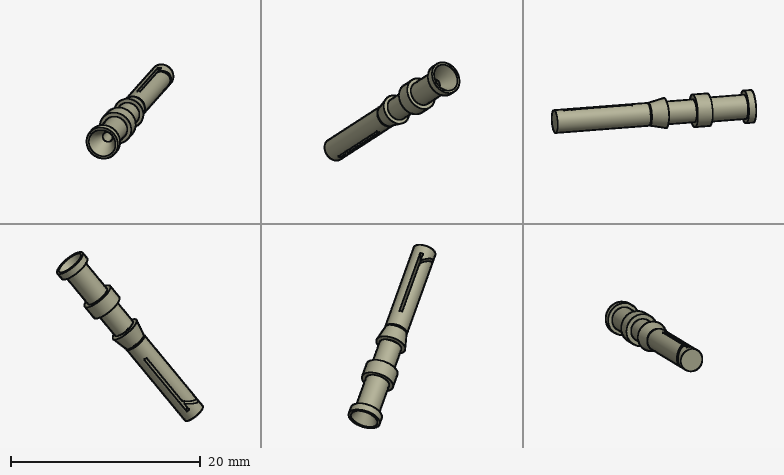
import cadquery as cq
import math

LENGTH = 21.6
FLANGE_END = 0.8
COLLAR_START = 4.77
COLLAR_END = 6.4
NECK_END = 9.4
BARB_START = 9.53
BARB_END = 11.28
SOCKET_START = 11.4

FLANGE_DIAMETER = 3.48
CRIMP_DIAMETER = 2.6
SOCKET_DIAMETER = 2.45
BARB_DIAMETER = 3.22
GROOVE_DIAMETER = 1.84

FUNNEL_DIAMETER = 2.94
BORE_DIAMETER = 1.08
FUNNEL_DEPTH = 1.95
BORE_END = 4.32
DRILL_POINT_ANGLE = 118.0

SLOT_WIDTH = 0.32
SLOT_START = 13.13
SLOT_END = 20.58
BRANCH_GAP = 0.37
BRANCH_CENTRE = 19.35
BRANCH_ANGLE = 45.0


def revolve_about_y(points):
    """Revolve a closed (radius, Y) outline about the Y axis."""
    return cq.Workplane("XY").polyline(points).close().revolve(360, (0, 0, 0), (0, 1, 0))


def make_body():
    flange_radius = FLANGE_DIAMETER / 2
    crimp_radius = CRIMP_DIAMETER / 2
    socket_radius = SOCKET_DIAMETER / 2
    groove_radius = GROOVE_DIAMETER / 2
    return revolve_about_y([
        (0, 0),
        (flange_radius, 0),
        (flange_radius, FLANGE_END),
        (crimp_radius, FLANGE_END),
        (crimp_radius, COLLAR_START),
        (flange_radius, COLLAR_START),
        (flange_radius, COLLAR_END),
        (socket_radius, COLLAR_END),
        (socket_radius, NECK_END),
        (groove_radius, NECK_END),
        (groove_radius, BARB_START),
        (BARB_DIAMETER / 2, BARB_START),
        (socket_radius, BARB_END),
        (groove_radius, BARB_END),
        (groove_radius, SOCKET_START),
        (socket_radius, SOCKET_START),
        (socket_radius, LENGTH),
        (0, LENGTH),
    ])


def make_wire_entry():
    bore_radius = BORE_DIAMETER / 2
    drill_tip = BORE_END + bore_radius / math.tan(math.radians(DRILL_POINT_ANGLE / 2))
    return revolve_about_y([
        (0, 0),
        (FUNNEL_DIAMETER / 2, 0),
        (bore_radius, FUNNEL_DEPTH),
        (bore_radius, BORE_END),
        (0, drill_tip),
    ])


def make_slots():
    """Straight slot on the axis with an oblique branch leaving through the +X side."""
    straight = (
        cq.Workplane("XY")
        .center(0, (SLOT_START + SLOT_END) / 2)
        .rect(SLOT_WIDTH, SLOT_END - SLOT_START)
        .extrude(SOCKET_DIAMETER, both=True)
    )
    reach = SOCKET_DIAMETER
    rise = reach * math.tan(math.radians(BRANCH_ANGLE))
    lower = BRANCH_CENTRE - BRANCH_GAP / 2
    upper = BRANCH_CENTRE + BRANCH_GAP / 2
    branch = (
        cq.Workplane("XY")
        .polyline([(0, lower), (reach, lower + rise), (reach, upper + rise), (0, upper)])
        .close()
        .extrude(SOCKET_DIAMETER, both=True)
    )
    return straight.union(branch)


result = make_body().cut(make_wire_entry()).cut(make_slots())